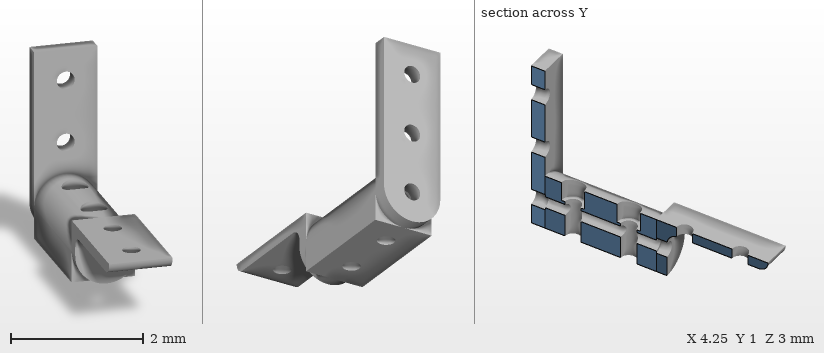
import cadquery as cq

total_length = 4.25
width = 1.0
hole_pitch = 1.0
plate_height = 3.0
plate_thickness = 0.25
block_length = 1.998
web_thickness = 0.19
flange_thickness = 0.183
inner_fillet_radius = 0.2
tip_radius = 0.18

clearance_diameter = 0.28
pivot_bore_diameter = 0.2
counterbore_diameter = 0.41
counterbore_depth = 0.34

half_width = width / 2
end_distance = hole_pitch / 2
block_start = plate_thickness
block_end = block_start + block_length
web_end = block_end + web_thickness
flange_underside = half_width - flange_thickness


def x_cylinder(diameter, start, length, z=0):
    """Cylinder parallel to X, centred on Y = 0 at height z."""
    return (
        cq.Workplane("YZ", origin=(start, 0, z))
        .circle(diameter / 2)
        .extrude(length)
    )


def z_cylinder(diameter, x, bottom, height):
    """Vertical cylinder at the given X position on Y = 0."""
    return (
        cq.Workplane("XY", origin=(x, 0, bottom))
        .circle(diameter / 2)
        .extrude(height)
    )


def round_bottom_slab(start, thickness, top):
    """Slab normal to X with a square top and a semicircular bottom."""
    return (
        cq.Workplane("YZ", origin=(start, 0, 0))
        .moveTo(-half_width, 0)
        .threePointArc((0, -half_width), (half_width, 0))
        .lineTo(half_width, top)
        .lineTo(-half_width, top)
        .close()
        .extrude(thickness)
    )


def make_upright_plate():
    plate = round_bottom_slab(0, plate_thickness, plate_height - half_width)
    for index in range(3):
        plate = plate.cut(
            x_cylinder(clearance_diameter, 0, plate_thickness, index * hole_pitch)
        )
    return plate


def make_block():
    block = (
        cq.Workplane("YZ", origin=(block_start, 0, 0))
        .moveTo(-half_width, -half_width)
        .lineTo(half_width, -half_width)
        .lineTo(half_width, 0)
        .threePointArc((0, half_width), (-half_width, 0))
        .close()
        .extrude(block_length)
    )
    block = block.cut(x_cylinder(pivot_bore_diameter, block_start, block_length))

    for index in range(2):
        x = block_start + end_distance + index * hole_pitch
        block = block.cut(z_cylinder(clearance_diameter, x, -half_width, width))
        block = block.cut(
            z_cylinder(
                counterbore_diameter, x, half_width - counterbore_depth, counterbore_depth
            )
        )
    return block


def make_angle_bracket():
    flange = (
        cq.Workplane("XZ", origin=(0, half_width, 0))
        .moveTo(block_end, half_width)
        .lineTo(total_length, half_width)
        .lineTo(total_length, flange_underside + tip_radius)
        .radiusArc((total_length - tip_radius, flange_underside), tip_radius)
        .lineTo(web_end + inner_fillet_radius, flange_underside)
        .radiusArc((web_end, flange_underside - inner_fillet_radius), -inner_fillet_radius)
        .lineTo(web_end, 0)
        .lineTo(block_end, 0)
        .close()
        .extrude(width)
    )
    web = round_bottom_slab(block_end, web_thickness, half_width)
    bracket = flange.union(web)
    bracket = bracket.cut(x_cylinder(clearance_diameter, block_end, web_thickness))

    for index in range(2):
        x = block_end + end_distance + index * hole_pitch
        bracket = bracket.cut(z_cylinder(clearance_diameter, x, 0, half_width))
    return bracket


upright_plate = make_upright_plate()
block = make_block()
angle_bracket = make_angle_bracket()

result = cq.Compound.makeCompound(
    [upright_plate.val(), block.val(), angle_bracket.val()]
)